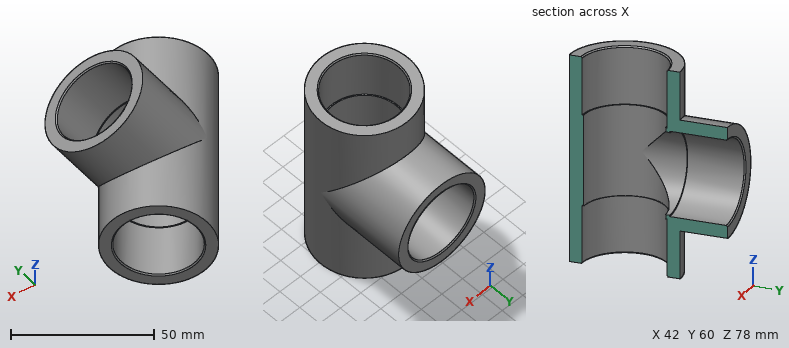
import cadquery as cq

run_length = 78.0
outer_diameter = 42.0
bore_diameter = 31.0
socket_diameter = 32.0
mouth_chamfer = 0.5
socket_depth = 21.85

arm_length = run_length / 2

arm_directions = [
    cq.Vector(0, 0, 1),
    cq.Vector(0, 0, -1),
    cq.Vector(0, 1, 0),
]


def outer_arm(direction):
    """Solid cylinder from the tee centre to one end."""
    return cq.Solid.makeCylinder(outer_diameter / 2, arm_length, cq.Vector(), direction)


def arm_bore(direction):
    """Bore with a wider socket and a chamfered mouth at one end."""
    bore = cq.Solid.makeCylinder(bore_diameter / 2, arm_length, cq.Vector(), direction)
    socket = cq.Solid.makeCylinder(
        socket_diameter / 2,
        socket_depth,
        direction * (arm_length - socket_depth),
        direction,
    )
    mouth = cq.Solid.makeCone(
        socket_diameter / 2,
        socket_diameter / 2 + mouth_chamfer,
        mouth_chamfer,
        direction * (arm_length - mouth_chamfer),
        direction,
    )
    return [bore, socket, mouth]


result = cq.Workplane("XY")
for arm_direction in arm_directions:
    result = result.add(outer_arm(arm_direction))
result = result.combine()

for arm_direction in arm_directions:
    for cutter in arm_bore(arm_direction):
        result = result.cut(cq.Workplane(cutter))